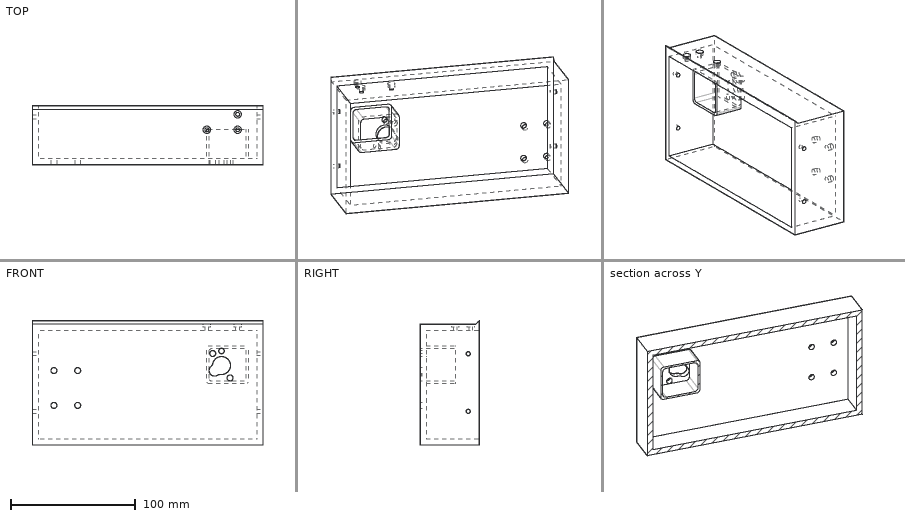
import cadquery as cq

length = 185.0
depth = 47.5
height = 100.0
wall = 5.0
lip = 3.0
overcut = 1.9

left = -length / 2
front = -depth / 2
back = depth / 2
bottom = -height / 2
top = height / 2
deck = top - lip
inner_front = front + wall

mount_diameter = 4.6
mount_columns = (-75.3, -56.3)
mount_rows = (9.8, -18.1)

bore_x = 59.2
bore_z = 13.9
bore_diameter = 14.2
lobe_x = 53.7
lobe_z = 9.8
lobe_diameter = 8.7
keyhole_blend = 4.3

motor_screw_diameter = 4.6
motor_screws = [(52.2, 23.5), (66.0, 3.9)]
pin_diameter = 4.3
pin_rise = 11.7

collar_left = 47.0
collar_right = 81.0
collar_bottom = -0.7
collar_top = 29.6
collar_wall = 2.0
collar_round = 2.8
collar_back = 4.8

screw_diameter = 3.1
head_diameter = 6.0
head_depth = 2.4
deck_screws = [(72.2, 16.8), (72.2, 4.5), (47.4, 4.5)]

side_diameter = 3.1
side_y = 14.8
side_rows = (23.3, -23.0)


def box_shell():
    profile = [
        (front, bottom),
        (back, bottom),
        (back, top),
        (back - lip, deck),
        (front, deck),
    ]
    body = cq.Workplane("YZ", origin=(left, 0, 0)).polyline(profile).close().extrude(length)
    cavity = (
        cq.Workplane("XZ", origin=(0, inner_front, (deck + bottom) / 2))
        .rect(length - 2 * wall, deck - bottom - 2 * wall)
        .extrude(-depth)
    )
    return body.cut(cavity)


def collar_block(inset, y_start, y_end):
    """Rounded block along Y, the collar outline moved inwards by inset."""
    middle_x = (collar_left + collar_right) / 2
    middle_z = (collar_bottom + collar_top) / 2
    width = collar_right - collar_left - 2 * inset
    tall = collar_top - collar_bottom - 2 * inset
    return (
        cq.Workplane("XZ", origin=(middle_x, y_start, middle_z))
        .rect(width, tall)
        .extrude(y_start - y_end)
        .edges("|Y")
        .fillet(collar_round)
    )


def front_holes(points, diameter):
    return (
        cq.Workplane("XZ", origin=(0, front - overcut, 0))
        .pushPoints(points)
        .circle(diameter / 2)
        .extrude(-(wall + 2 * overcut))
    )


def keyhole():
    bore = front_holes([(bore_x, bore_z)], bore_diameter)
    lobe = front_holes([(lobe_x, lobe_z)], lobe_diameter)
    notch_zone = cq.selectors.BoxSelector(
        (bore_x - bore_diameter / 2, front - overcut, lobe_z - lobe_diameter / 2),
        (bore_x, inner_front + overcut, bore_z + lobe_diameter / 2),
    )
    return bore.union(lobe).edges("|Y").edges(notch_zone).fillet(keyhole_blend)


def deck_holes(diameter, hole_depth):
    return (
        cq.Workplane("XY", origin=(0, 0, deck))
        .pushPoints(deck_screws)
        .circle(diameter / 2)
        .extrude(-hole_depth)
    )


def side_holes():
    return (
        cq.Workplane("YZ", origin=(left - overcut, 0, 0))
        .pushPoints([(side_y, z) for z in side_rows])
        .circle(side_diameter / 2)
        .extrude(length + 2 * overcut)
    )


result = box_shell()
result = result.union(collar_block(0, front + wall / 2, collar_back))
result = result.cut(collar_block(collar_wall, inner_front, collar_back + overcut))

mounts = [(x, z) for x in mount_columns for z in mount_rows]
result = result.cut(front_holes(mounts, mount_diameter))
result = result.cut(front_holes(motor_screws, motor_screw_diameter))
result = result.cut(front_holes([(bore_x, bore_z + pin_rise)], pin_diameter))
result = result.cut(keyhole())

result = result.cut(deck_holes(screw_diameter, wall + overcut))
result = result.cut(deck_holes(head_diameter, head_depth))
result = result.cut(side_holes())